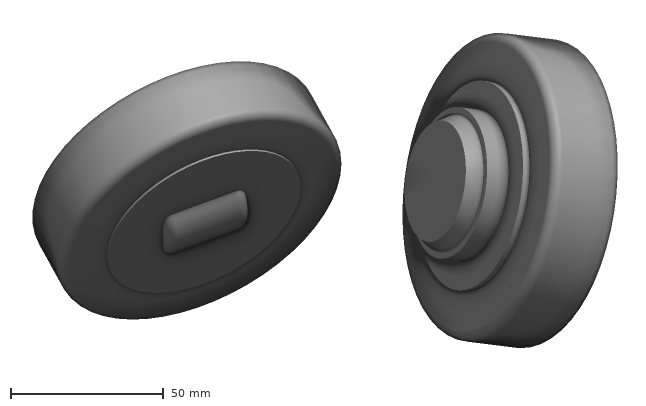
import cadquery as cq


wheel_radius = 50.8
wheel_width = 25.0
rim_fillet = 3.0

flange_radius = 34.5
hub_flange_thickness = 2.4
outer_flange_thickness = 0.7
face_crown_height = 0.8
face_crown_radius = 39.6

hub_radius = 25.0
hub_length = 8.0
flare_tip_radius = 20.0
flare_base_radius = 22.6
flare_length = 5.2
flare_arc_sag = 0.2

grip_length = 30.1
grip_radius = 16.8
grip_height = 3.9
grip_end_fillet = 3.6

hub_start = flare_length
flange_start = hub_start + hub_length
wheel_start = flange_start + hub_flange_thickness
wheel_end = wheel_start + wheel_width
crown_end = wheel_end + face_crown_height
outer_face = crown_end + outer_flange_thickness


def revolve_about_x(profile):
    return profile.revolve(360, (0, 0, 0), (1, 0, 0))


def make_wheel():
    """Turn the wheel with rounded rims and a +X face that is conical outside a flat centre."""
    outline = [
        (wheel_start, 0),
        (wheel_start, wheel_radius),
        (wheel_end, wheel_radius),
        (crown_end, face_crown_radius),
        (crown_end, 0),
        (wheel_start, 0),
    ]
    half_section = cq.Sketch().polygon(outline).vertices(">Y").fillet(rim_fillet)
    return revolve_about_x(cq.Workplane("XY").placeSketch(half_section))


def make_hub():
    """Turn the flared hub end, the hub and the flanges that show on both sides of the wheel."""
    flare_middle = (
        flare_length / 2,
        (flare_tip_radius + flare_base_radius) / 2 - flare_arc_sag,
    )
    profile = (
        cq.Workplane("XY")
        .moveTo(0, 0)
        .lineTo(0, flare_tip_radius)
        .threePointArc(flare_middle, (hub_start, flare_base_radius))
        .lineTo(hub_start, hub_radius)
        .lineTo(flange_start, hub_radius)
        .lineTo(flange_start, flange_radius)
        .lineTo(outer_face, flange_radius)
        .lineTo(outer_face, 0)
        .close()
    )
    return revolve_about_x(profile)


def make_grip():
    """Cut the grip from a cylinder along Y with rounded end edges."""
    grip_axis = outer_face + grip_height - grip_radius
    cylinder = (
        cq.Workplane("XZ", origin=(grip_axis, 0, 0))
        .circle(grip_radius)
        .extrude(grip_length / 2, both=True)
        .edges("%CIRCLE")
        .fillet(grip_end_fillet)
    )
    keep_box = (
        cq.Workplane("XY")
        .box(2 * grip_radius, 2 * grip_length, 2 * grip_radius, centered=(False, True, True))
        .translate((crown_end, 0, 0))
    )
    return cylinder.intersect(keep_box)


result = make_wheel().union(make_hub()).union(make_grip())